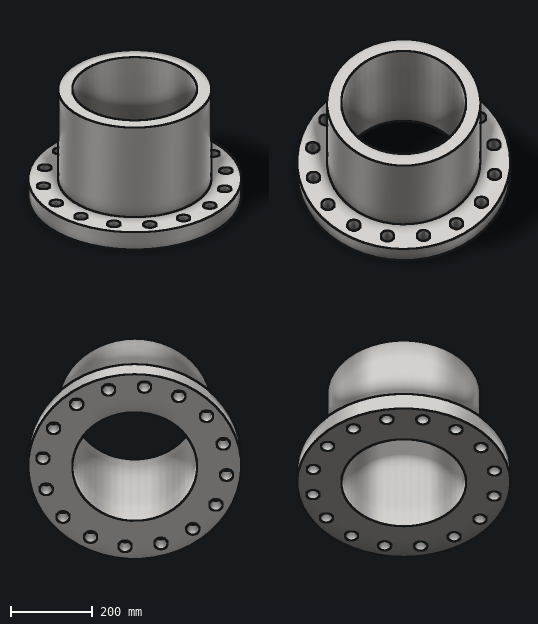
import cadquery as cq

flange_diameter = 520.5
flange_thickness = 49.5

total_height = 303.0
collar_diameter = 375.0
bore_diameter = 304.5

bolt_circle_diameter = 451.0
bolt_hole_diameter = 32.5
bolt_hole_count = 16


def make_body():
    """Flange disc with the collar standing on it, base on Z = 0."""
    flange = cq.Workplane("XY").circle(flange_diameter / 2).extrude(flange_thickness)
    collar = cq.Workplane("XY").circle(collar_diameter / 2).extrude(total_height)
    return flange.union(collar)


def make_bore():
    """Cylinder removed through the full height."""
    return cq.Workplane("XY").circle(bore_diameter / 2).extrude(total_height)


def make_bolt_holes():
    """Ring of cylinders removed through the flange."""
    return (
        cq.Workplane("XY")
        .polarArray(bolt_circle_diameter / 2, 0, 360, bolt_hole_count)
        .circle(bolt_hole_diameter / 2)
        .extrude(flange_thickness)
    )


result = make_body().cut(make_bore()).cut(make_bolt_holes())